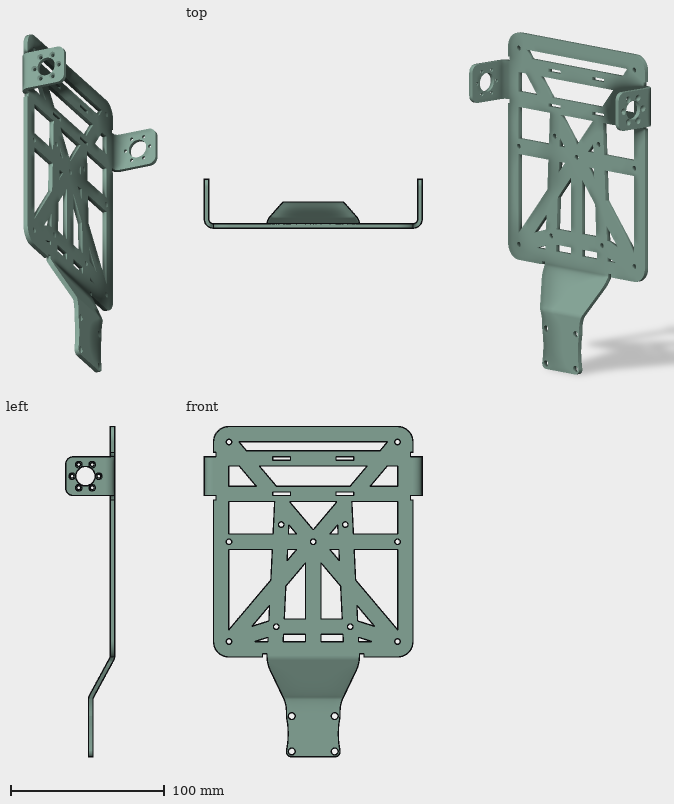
import math

import cadquery as cq

SHEET = 3.0
BEND_INNER = 3.0
BEND_OUTER = BEND_INNER + SHEET
CUT_DEPTH = 86.0

PLATE_WIDTH = 129.9
PLATE_HEIGHT = 150.0
STRUT_WIDTH = 10.0
PLATE_CORNER_RADIUS = STRUT_WIDTH
PLATE_HOLE_DIA = 3.5
HALF_STRUT = STRUT_WIDTH / 2
PLATE_SIDE = PLATE_WIDTH / 2
PLATE_END = PLATE_HEIGHT / 2
CORNER_X = PLATE_SIDE - STRUT_WIDTH
CORNER_Z = PLATE_END - STRUT_WIDTH
UPPER_NODE = (20.9, 11.2)
LOWER_NODE = (24.0, -55.3)

SLOT_LENGTH = 11.5
SLOT_HEIGHT = 2.2
SLOT_X = 20.6
UPPER_BAR_Z = 54.2
LOWER_BAR_Z = 31.2

TAB_DEPTH = 32.0
TAB_HEIGHT = 25.4
TAB_CENTER_Z = (UPPER_BAR_Z + LOWER_BAR_Z) / 2
TAB_OUTER_X = PLATE_SIDE + BEND_OUTER
TAB_CORNER_RADIUS = 5.0
BORE_DIA = 12.5
BORE_EDGE_DISTANCE = 13.0
SCREW_COUNT = 6
SCREW_CIRCLE_DIA = 17.5
SCREW_DIA = 2.4
COUNTERSINK_DIA = 4.3
COUNTERSINK_ANGLE = 90.0

RELIEF_WIDTH = 2.8
TAB_RELIEF_DEPTH = 1.5
FOOT_RELIEF_DEPTH = 2.2
FOOT_ROOT_Z = -PLATE_END + FOOT_RELIEF_DEPTH

OVERALL_HEIGHT = 215.0
FOOT_END_Z = PLATE_END - OVERALL_HEIGHT
FOOT_BEND_Z = -74.2
FOOT_OFFSET = 14.2
FOOT_BEND_ANGLE = math.radians(28.5)
FOOT_ROOT_HALF_WIDTH = 30.0
FLANK_TOP_Z = -79.3
FLANK_BOTTOM_Z = -105.5
FLANK_RADIUS = 20.0
FOOT_HOLE_DIA = 4.3
FOOT_EAR_RADIUS = 7.0 / 2
FOOT_HOLE_X = 14.0
FOOT_HOLE_SPACING = 23.0
FOOT_LOWER_HOLE_Z = FOOT_END_Z + FOOT_EAR_RADIUS
FOOT_UPPER_HOLE_Z = FOOT_LOWER_HOLE_Z + FOOT_HOLE_SPACING
FOOT_HALF_WIDTH = FOOT_HOLE_X + FOOT_EAR_RADIUS
FOOT_WAIST_HALF_WIDTH = 16.3


def front_block(x_min, x_max, z_min, z_max):
    """Rectangle in the front plane, cut-depth thick and centred on Y = 0."""
    return (
        cq.Workplane("XY")
        .box(x_max - x_min, CUT_DEPTH, z_max - z_min)
        .translate(((x_min + x_max) / 2, 0, (z_min + z_max) / 2))
    )


def strut(start, end):
    """Straight bar of strut width between two points (x, z) of the frame."""
    dx = end[0] - start[0]
    dz = end[1] - start[1]
    return (
        cq.Workplane("XY")
        .box(math.hypot(dx, dz), CUT_DEPTH, STRUT_WIDTH)
        .rotate((0, 0, 0), (0, 1, 0), -math.degrees(math.atan2(dz, dx)))
        .translate(((start[0] + end[0]) / 2, 0, (start[1] + end[1]) / 2))
    )


def both_sides(shape):
    return shape.union(shape.mirror("YZ"))


def front_holes(points, diameter):
    return (
        cq.Workplane("XZ")
        .pushPoints(points)
        .circle(diameter / 2)
        .extrude(CUT_DEPTH / 2, both=True)
    )


def along_line(start, end, z):
    """Point at height z on the line through two frame points."""
    ratio = (z - start[1]) / (end[1] - start[1])
    return (start[0] + ratio * (end[0] - start[0]), z)


def bent_strip():
    """Strip bent to the side profile of the foot, wider than the foot itself."""
    sine = math.sin(FOOT_BEND_ANGLE)
    cosine = math.cos(FOOT_BEND_ANGLE)
    half_sine = math.sin(FOOT_BEND_ANGLE / 2)
    half_cosine = math.cos(FOOT_BEND_ANGLE / 2)
    bends_y = (BEND_OUTER + BEND_INNER) * (1 - cosine)
    slope_drop = (FOOT_OFFSET - bends_y) * cosine / sine
    upper_center = (BEND_OUTER, FOOT_BEND_Z)
    lower_center = (
        FOOT_OFFSET - BEND_INNER,
        FOOT_BEND_Z - (BEND_OUTER + BEND_INNER) * sine - slope_drop,
    )

    def upper(radius, s, c):
        return (upper_center[0] - radius * c, upper_center[1] - radius * s)

    def lower(radius, s, c):
        return (lower_center[0] + radius * c, lower_center[1] + radius * s)

    return (
        cq.Workplane("YZ")
        .moveTo(0, FOOT_ROOT_Z)
        .lineTo(*upper(BEND_OUTER, 0, 1))
        .threePointArc(upper(BEND_OUTER, half_sine, half_cosine), upper(BEND_OUTER, sine, cosine))
        .lineTo(*lower(BEND_INNER, sine, cosine))
        .threePointArc(lower(BEND_INNER, half_sine, half_cosine), lower(BEND_INNER, 0, 1))
        .lineTo(FOOT_OFFSET, FOOT_END_Z)
        .lineTo(FOOT_OFFSET + SHEET, FOOT_END_Z)
        .lineTo(*lower(BEND_OUTER, 0, 1))
        .threePointArc(lower(BEND_OUTER, half_sine, half_cosine), lower(BEND_OUTER, sine, cosine))
        .lineTo(*upper(BEND_INNER, sine, cosine))
        .threePointArc(upper(BEND_INNER, half_sine, half_cosine), upper(BEND_INNER, 0, 1))
        .lineTo(SHEET, FOOT_ROOT_Z)
        .close()
        .extrude(PLATE_SIDE, both=True)
    )


def flat_plate():
    """Rounded plate with its bend reliefs, cut out along the root of the foot."""
    plate = cq.Workplane("XY").box(PLATE_WIDTH, SHEET, PLATE_HEIGHT).translate((0, SHEET / 2, 0))
    plate = plate.edges("|Y").fillet(PLATE_CORNER_RADIUS)
    half_tab = TAB_HEIGHT / 2
    relief_x = PLATE_SIDE - TAB_RELIEF_DEPTH
    for low in (TAB_CENTER_Z - half_tab - RELIEF_WIDTH, TAB_CENTER_Z + half_tab):
        plate = plate.cut(both_sides(front_block(relief_x, PLATE_SIDE, low, low + RELIEF_WIDTH)))
    relief_x = FOOT_ROOT_HALF_WIDTH + RELIEF_WIDTH
    return plate.cut(front_block(-relief_x, relief_x, -PLATE_END, FOOT_ROOT_Z))


def foot_outline():
    waist_z = (FOOT_UPPER_HOLE_Z + FOOT_LOWER_HOLE_Z) / 2
    ear_offset = FOOT_EAR_RADIUS * math.sqrt(0.5)
    half = (
        cq.Workplane("XZ")
        .moveTo(0, FOOT_ROOT_Z)
        .lineTo(FOOT_ROOT_HALF_WIDTH, FOOT_ROOT_Z)
        .lineTo(FOOT_ROOT_HALF_WIDTH, FLANK_TOP_Z)
        .lineTo(FOOT_HALF_WIDTH, FLANK_BOTTOM_Z)
        .lineTo(FOOT_HALF_WIDTH, FOOT_UPPER_HOLE_Z)
        .threePointArc((FOOT_WAIST_HALF_WIDTH, waist_z), (FOOT_HALF_WIDTH, FOOT_LOWER_HOLE_Z))
        .threePointArc(
            (FOOT_HOLE_X + ear_offset, FOOT_LOWER_HOLE_Z - ear_offset), (FOOT_HOLE_X, FOOT_END_Z)
        )
        .lineTo(0, FOOT_END_Z)
        .close()
        .extrude(CUT_DEPTH / 2, both=True)
    )
    for x, z in ((FOOT_ROOT_HALF_WIDTH, FLANK_TOP_Z), (FOOT_HALF_WIDTH, FLANK_BOTTOM_Z)):
        half = half.edges(cq.NearestToPointSelector((x, 0, z))).fillet(FLANK_RADIUS)
    return both_sides(half)


def frame_windows():
    """Openings of the frame: each panel between the bars, less the struts that cross it."""
    corner_up = (CORNER_X, CORNER_Z)
    corner_down = (CORNER_X, -CORNER_Z)
    diagonal_up = strut((0, 0), corner_up)
    diagonal_down = strut((0, 0), corner_down)
    upright = strut(
        along_line(UPPER_NODE, LOWER_NODE, PLATE_END),
        along_line(UPPER_NODE, LOWER_NODE, -PLATE_END),
    )
    spine = strut((0, 0), (0, -PLATE_END))
    cross_bar = strut((0, LOWER_NODE[1]), LOWER_NODE)
    brace = strut(LOWER_NODE, corner_down)

    lower_bar_top = LOWER_BAR_Z + HALF_STRUT
    lower_bar_bottom = LOWER_BAR_Z - HALF_STRUT
    upper_bar_top = UPPER_BAR_Z + HALF_STRUT
    upper_bar_bottom = UPPER_BAR_Z - HALF_STRUT
    split_x = UPPER_NODE[0]
    panels = (
        (0, CORNER_X, upper_bar_top, CORNER_Z, (diagonal_up,)),
        (0, CORNER_X, lower_bar_top, upper_bar_bottom, (diagonal_up,)),
        (0, split_x, HALF_STRUT, lower_bar_bottom, (diagonal_up, upright)),
        (split_x, CORNER_X, HALF_STRUT, lower_bar_bottom, (upright,)),
        (0, CORNER_X, -CORNER_Z, -HALF_STRUT, (diagonal_down, upright, spine, cross_bar, brace)),
    )
    windows = cq.Workplane("XY")
    for x_min, x_max, z_min, z_max, struts in panels:
        panel = front_block(x_min, x_max, z_min, z_max)
        for bar in struts:
            panel = panel.cut(bar)
        windows = windows.add(both_sides(panel))
    return windows.combine()


def bar_slots():
    return (
        cq.Workplane("XZ")
        .pushPoints([(x, z) for x in (-SLOT_X, SLOT_X) for z in (LOWER_BAR_Z, UPPER_BAR_Z)])
        .rect(SLOT_LENGTH, SLOT_HEIGHT)
        .extrude(CUT_DEPTH / 2, both=True)
    )


def plate_holes():
    points = [(0, 0)]
    for side in (-1, 1):
        points += [(side * CORNER_X, z) for z in (-CORNER_Z, 0, CORNER_Z)]
        points += [(side * x, z) for x, z in (UPPER_NODE, LOWER_NODE)]
    return front_holes(points, PLATE_HOLE_DIA)


def foot_holes():
    rows = (FOOT_UPPER_HOLE_Z, FOOT_LOWER_HOLE_Z)
    return front_holes([(x, z) for x in (-FOOT_HOLE_X, FOOT_HOLE_X) for z in rows], FOOT_HOLE_DIA)


def right_tab():
    """Tab bent back from the +X edge, with a bore and a ring of countersunk screw holes."""
    mid_bend = math.sqrt(0.5)
    tab = (
        cq.Workplane("XY")
        .workplane(offset=TAB_CENTER_Z - TAB_HEIGHT / 2)
        .moveTo(PLATE_SIDE - TAB_RELIEF_DEPTH, 0)
        .lineTo(PLATE_SIDE, 0)
        .threePointArc(
            (PLATE_SIDE + BEND_OUTER * mid_bend, BEND_OUTER * (1 - mid_bend)),
            (TAB_OUTER_X, BEND_OUTER),
        )
        .lineTo(TAB_OUTER_X, TAB_DEPTH)
        .lineTo(TAB_OUTER_X - SHEET, TAB_DEPTH)
        .lineTo(TAB_OUTER_X - SHEET, BEND_OUTER)
        .threePointArc(
            (PLATE_SIDE + BEND_INNER * mid_bend, BEND_OUTER - BEND_INNER * mid_bend),
            (PLATE_SIDE, SHEET),
        )
        .lineTo(PLATE_SIDE - TAB_RELIEF_DEPTH, SHEET)
        .close()
        .extrude(TAB_HEIGHT)
        .edges("|X and >Y")
        .fillet(TAB_CORNER_RADIUS)
    )
    outer_face = cq.Plane(
        origin=(TAB_OUTER_X, TAB_DEPTH - BORE_EDGE_DISTANCE, TAB_CENTER_Z),
        xDir=(0, 1, 0),
        normal=(1, 0, 0),
    )
    return (
        tab.copyWorkplane(cq.Workplane(outer_face))
        .hole(BORE_DIA, 2 * SHEET)
        .copyWorkplane(cq.Workplane(outer_face))
        .polarArray(SCREW_CIRCLE_DIA / 2, 0, 360, SCREW_COUNT)
        .cskHole(SCREW_DIA, COUNTERSINK_DIA, COUNTERSINK_ANGLE, 2 * SHEET)
    )


foot = bent_strip().intersect(foot_outline())
sheet = flat_plate().union(foot)
sheet = sheet.cut(frame_windows()).cut(bar_slots()).cut(plate_holes()).cut(foot_holes())
tab = right_tab()
result = sheet.union(tab).union(tab.mirror("YZ"))